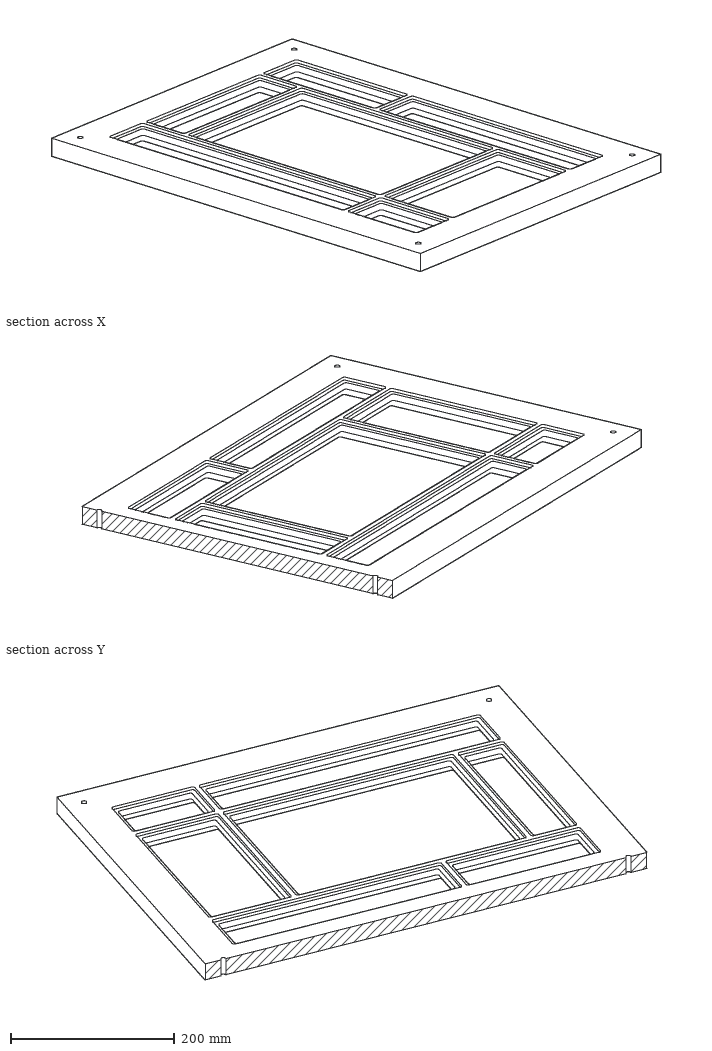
import cadquery as cq

plate_length = 599.0
plate_width = 449.0
plate_thickness = 23.88
border = 50.0

bar_width = 6.5
ledge_width = 6.0
underside_recess_width = 7.25
ledge_depth = 4.0
underside_recess_depth = 11.4
window_corner_radius = 3.0

top_left_opening_length = 170.0
edge_row_opening = 50.0
left_opening_length = 50.0
centre_opening_length = 300.0

hole_diameter = 6.5
hole_inset = 25.0

field_right = plate_length / 2 - border
field_left = -field_right
field_top = plate_width / 2 - border
field_bottom = -field_top

edge_row_height = edge_row_opening + 2 * ledge_width
upper_bar_top = field_top - edge_row_height
upper_bar_bottom = upper_bar_top - bar_width
lower_bar_bottom = field_bottom + edge_row_height
lower_bar_top = lower_bar_bottom + bar_width

left_bar_start = field_left + left_opening_length + 2 * ledge_width
left_bar_end = left_bar_start + bar_width
right_bar_start = left_bar_end + centre_opening_length + 2 * ledge_width
right_bar_end = right_bar_start + bar_width
top_bar_start = field_left + top_left_opening_length + 2 * ledge_width
top_bar_end = top_bar_start + bar_width

windows = [
    (field_left, top_bar_start, upper_bar_top, field_top),
    (top_bar_end, field_right, upper_bar_top, field_top),
    (field_left, left_bar_start, lower_bar_top, upper_bar_bottom),
    (left_bar_end, right_bar_start, lower_bar_top, upper_bar_bottom),
    (right_bar_end, field_right, lower_bar_top, upper_bar_bottom),
    (field_left, right_bar_start, field_bottom, lower_bar_bottom),
    (right_bar_end, field_right, field_bottom, lower_bar_bottom),
]


def rounded_block(left, right, bottom, top, base_height, height):
    """Block with rounded vertical edges, standing at base_height."""
    return (
        cq.Workplane("XY", origin=((left + right) / 2, (bottom + top) / 2, base_height))
        .rect(right - left, top - bottom)
        .extrude(height)
        .edges("|Z")
        .fillet(window_corner_radius)
    )


def inset(outline, distance):
    """Move every side of a rectangular outline inwards (outwards if negative)."""
    left, right, bottom, top = outline
    return left + distance, right - distance, bottom + distance, top - distance


def window_cutter(top_outline):
    """Through opening joined to the wider recesses in the top and the underside."""
    opening_outline = inset(top_outline, ledge_width)
    underside_outline = inset(opening_outline, -underside_recess_width)

    opening = rounded_block(*opening_outline, 0, plate_thickness)
    top_recess = rounded_block(*top_outline, plate_thickness - ledge_depth, ledge_depth)
    underside_recess = rounded_block(*underside_outline, 0, underside_recess_depth)
    return opening.union(top_recess).union(underside_recess)


def solid_plate():
    return cq.Workplane("XY").box(
        plate_length, plate_width, plate_thickness, centered=(True, True, False)
    )


def drill_corner_holes(plate):
    return (
        plate.faces(">Z")
        .workplane(origin=(0, 0, plate_thickness))
        .rect(plate_length - 2 * hole_inset, plate_width - 2 * hole_inset, forConstruction=True)
        .vertices()
        .hole(hole_diameter)
    )


frame = solid_plate()
for window in windows:
    frame = frame.cut(window_cutter(window))

result = drill_corner_holes(frame)